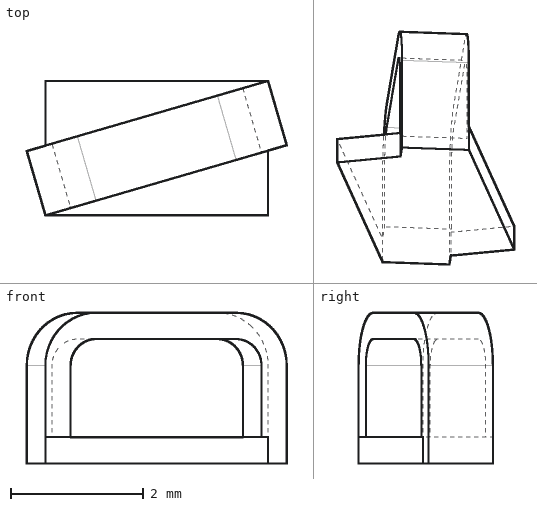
import cadquery as cq
import math

strap_length = 3.81
strap_width = 1.016
strap_thickness = 0.40
strap_height = 2.286
outer_radius = 0.80
inner_radius = outer_radius - strap_thickness
strap_angle = 16.2

base_thickness = 0.40
angle = math.radians(strap_angle)
base_length = strap_length * math.cos(angle) - strap_width * math.sin(angle)
base_width = strap_length * math.sin(angle) + strap_width * math.cos(angle)


def round_topped_block(length, height, radius):
    """Upright block across the strap width, standing on Z = 0, with rounded top ends."""
    block = cq.Workplane("XY").box(length, strap_width, height, centered=(True, True, False))
    return block.edges("|Y and >Z").fillet(radius)


def make_strap():
    """Arch of constant thickness, open at the bottom and turned about Z."""
    outer = round_topped_block(strap_length, strap_height, outer_radius)
    opening = round_topped_block(
        strap_length - 2 * strap_thickness,
        strap_height - strap_thickness,
        inner_radius,
    )
    return outer.cut(opening).rotate((0, 0, 0), (0, 0, 1), strap_angle)


def make_base():
    """Flat plate joining the feet of the strap."""
    return cq.Workplane("XY").box(base_length, base_width, base_thickness, centered=(True, True, False))


result = make_base().union(make_strap())